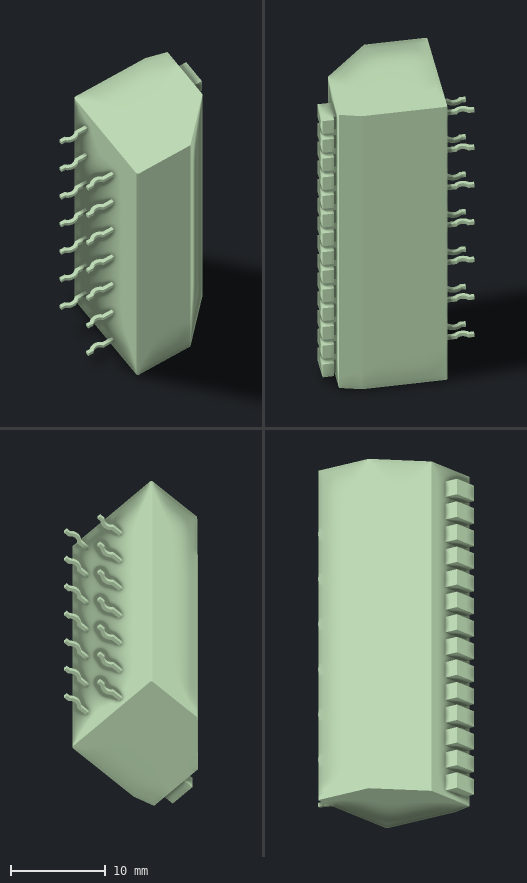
import cadquery as cq
import math

length = 36.5
width = 12.0
depth = 11.5
front_chamfer = 0.15
left_bevel_x = 0.65
left_bevel_y = 2.37
right_bevel = 4.75

contact_count = 14
first_button_z = 1.55
last_button_z = 34.05
contact_pitch = (last_button_z - first_button_z) / (contact_count - 1)

button_left = 1.9
button_width = 2.95
button_rise = 1.55
button_height = 1.7
button_lip = 0.6
button_gap = 0.3

pin_thickness = 0.4
pin_height = 0.45
pin_length = 3.3
pin_column_left = 2.4
pin_column_right = 7.45
first_pin_z = 1.28
bend_center = 2.0
bend_offset = 0.345
bend_inner_radius = 0.73


def make_housing():
    right_slope_start = width - right_bevel
    outline = [
        (front_chamfer, 0),
        (width - front_chamfer, 0),
        (width, front_chamfer),
        (width, depth - right_bevel),
        (right_slope_start, depth),
        (left_bevel_x, depth),
        (0, depth - left_bevel_y),
        (0, front_chamfer),
    ]
    return cq.Workplane("XY").polyline(outline).close().extrude(length)


def make_button(z_center):
    """Push button whose left lip overhangs the housing with a small gap."""
    neck_left = button_left + button_lip
    button_right = button_left + button_width
    outline = [
        (neck_left, depth),
        (button_right, depth),
        (button_right, depth + button_rise),
        (button_left, depth + button_rise),
        (button_left, depth + button_gap),
        (neck_left, depth + button_gap),
    ]
    bottom = cq.Workplane("XY").workplane(offset=z_center - button_height / 2)
    return bottom.polyline(outline).close().extrude(button_height)


def half_chord(radius):
    """Half the chord that cuts a bow of the bend offset from a circle."""
    return math.sqrt(radius**2 - (radius - bend_offset) ** 2)


def make_pin(x_center, z_center, bend_side):
    """Flat pin bowed toward +X (bend_side 1) or -X (bend_side -1) by concentric arcs."""
    inner_x = x_center - bend_side * pin_thickness / 2
    outer_x = x_center + bend_side * pin_thickness / 2
    bow = bend_side * bend_offset
    inner_half = half_chord(bend_inner_radius)
    outer_half = half_chord(bend_inner_radius + pin_thickness)
    return (
        cq.Workplane("XY")
        .workplane(offset=z_center - pin_height / 2)
        .moveTo(inner_x, 0)
        .lineTo(inner_x, inner_half - bend_center)
        .threePointArc((inner_x + bow, -bend_center), (inner_x, -inner_half - bend_center))
        .lineTo(inner_x, -pin_length)
        .lineTo(outer_x, -pin_length)
        .lineTo(outer_x, -outer_half - bend_center)
        .threePointArc((outer_x + bow, -bend_center), (outer_x, outer_half - bend_center))
        .lineTo(outer_x, 0)
        .close()
        .extrude(pin_height)
    )


result = make_housing()
for index in range(contact_count):
    rise = index * contact_pitch
    result = result.union(make_button(first_button_z + rise))
    if index % 2 == 0:
        pin = make_pin(pin_column_right, first_pin_z + rise, -1)
    else:
        pin = make_pin(pin_column_left, first_pin_z + rise, 1)
    result = result.union(pin)